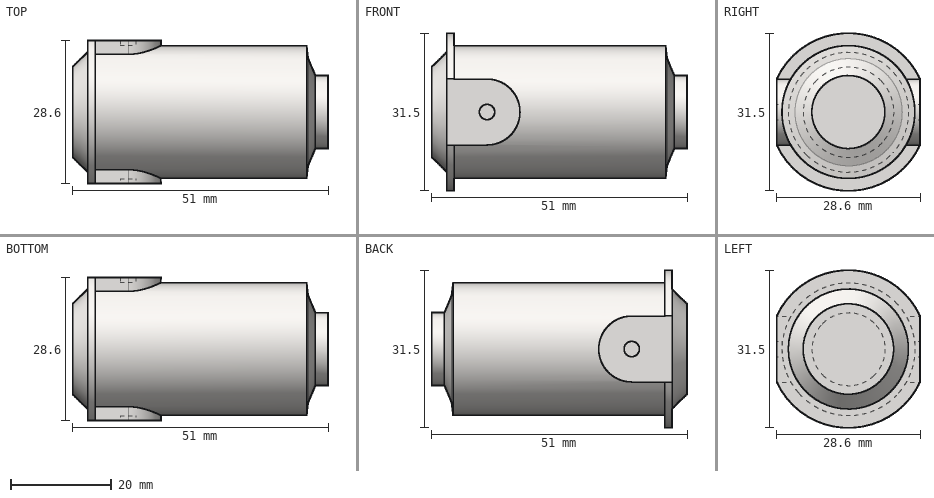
import cadquery as cq

total_length = 51.0
flange_start = 3.0
flange_thickness = 1.5
body_end = 46.7
lip_end = 47.0
neck_start = 48.45

nose_radius = 9.05
nose_base_radius = 12.0
flange_radius = 15.75
body_radius = 13.25
lip_radius = 10.7
neck_radius = 7.3

width_over_flats = 28.6
lug_center_x = 11.05
lug_radius = 6.6
hole_diameter = 3.05
hole_depth = 1.0

half_width = width_over_flats / 2
flange_end = flange_start + flange_thickness


def turned_body():
    """Revolve the nose, flange, barrel and neck about the X axis."""
    profile = [
        (0, 0),
        (0, nose_radius),
        (flange_start, nose_base_radius),
        (flange_start, flange_radius),
        (flange_end, flange_radius),
        (flange_end, body_radius),
        (body_end, body_radius),
        (lip_end, lip_radius),
        (neck_start, neck_radius),
        (total_length, neck_radius),
        (total_length, 0),
    ]
    return cq.Workplane("XY").polyline(profile).close().revolve(360, (0, 0, 0), (1, 0, 0))


def side_flats():
    """Slab that trims the flange to two parallel flats."""
    size = 2 * flange_radius
    return cq.Workplane("XY").box(total_length, width_over_flats, size, centered=(False, True, True))


def lugs():
    """Round-ended pads running through the barrel to both flats."""
    return (
        cq.Workplane("XZ", origin=(0, half_width, 0))
        .moveTo(flange_start, -lug_radius)
        .lineTo(lug_center_x, -lug_radius)
        .threePointArc((lug_center_x + lug_radius, 0), (lug_center_x, lug_radius))
        .lineTo(flange_start, lug_radius)
        .close()
        .extrude(width_over_flats)
    )


def pivot_hole(side):
    """Blind hole entering the lug on the given side of the part."""
    start_y = side * (half_width - hole_depth / 2)
    return (
        cq.Workplane("XZ", origin=(lug_center_x, start_y, 0))
        .circle(hole_diameter / 2)
        .extrude(hole_depth / 2, both=True)
    )


result = turned_body().intersect(side_flats()).union(lugs())
for side in (-1, 1):
    result = result.cut(pivot_hole(side))